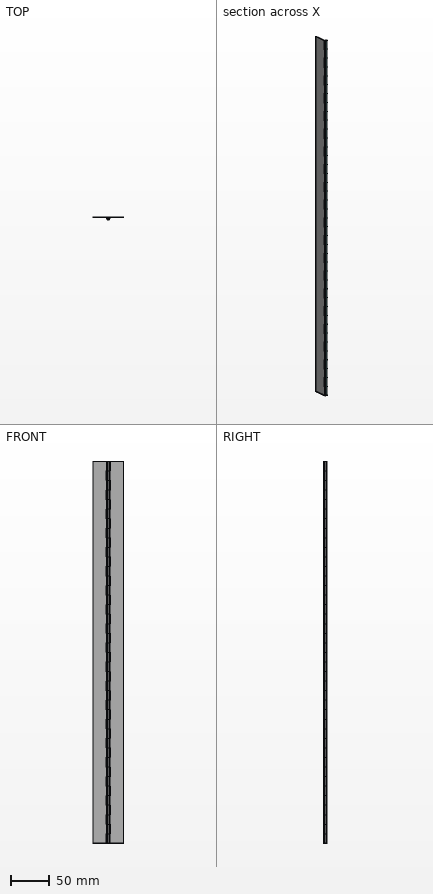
import cadquery as cq
import math

HINGE_LENGTH = 500.0
HINGE_WIDTH = 40.0
BARREL_DIAMETER = 4.0
LEAF_THICKNESS = 1.0
NOTCH_CLEARANCE = 0.5
KNUCKLE_COUNT = 40

PIN_DIAMETER = BARREL_DIAMETER - 2 * LEAF_THICKNESS
KNUCKLE_LENGTH = HINGE_LENGTH / KNUCKLE_COUNT
BARREL_RADIUS = BARREL_DIAMETER / 2
LEAF_BACK_Y = BARREL_RADIUS
LEAF_FRONT_Y = LEAF_BACK_Y - LEAF_THICKNESS
LEAF_INNER_X = BARREL_RADIUS + NOTCH_CLEARANCE
LEAF_OUTER_X = HINGE_WIDTH / 2
CURL_END_X = math.sqrt(BARREL_RADIUS**2 - LEAF_FRONT_Y**2)

LEFT = -1
RIGHT = 1


def make_plate(side):
    """Flat full-length sheet that stops short of the barrel."""
    return (
        cq.Workplane("XY")
        .moveTo(side * LEAF_INNER_X, LEAF_BACK_Y)
        .lineTo(side * LEAF_OUTER_X, LEAF_BACK_Y)
        .lineTo(side * LEAF_OUTER_X, LEAF_FRONT_Y)
        .lineTo(side * LEAF_INNER_X, LEAF_FRONT_Y)
        .close()
        .extrude(HINGE_LENGTH)
    )


def make_knuckle(side, bottom):
    """Barrel segment, tangent to the leaf's back face, with the bore for the pin."""
    return (
        cq.Workplane("XY")
        .workplane(offset=bottom)
        .moveTo(side * LEAF_INNER_X, LEAF_BACK_Y)
        .lineTo(0, LEAF_BACK_Y)
        .threePointArc((0, -BARREL_RADIUS), (side * CURL_END_X, LEAF_FRONT_Y))
        .lineTo(side * LEAF_INNER_X, LEAF_FRONT_Y)
        .close()
        .moveTo(0, 0)
        .circle(PIN_DIAMETER / 2)
        .extrude(KNUCKLE_LENGTH)
    )


def make_leaf(side, first_knuckle):
    """Leaf on one side of the pin, carrying every second knuckle."""
    plate = make_plate(side)
    knuckles = [
        make_knuckle(side, index * KNUCKLE_LENGTH).val()
        for index in range(first_knuckle, KNUCKLE_COUNT, 2)
    ]
    return plate.val().fuse(*knuckles).clean().Solids()[0]


def make_pin():
    """Plain pin through all the knuckles, flush with both ends."""
    return cq.Workplane("XY").circle(PIN_DIAMETER / 2).extrude(HINGE_LENGTH).val()


right_leaf = make_leaf(RIGHT, first_knuckle=0)
left_leaf = make_leaf(LEFT, first_knuckle=1)
pin = make_pin()

result = cq.Compound.makeCompound([left_leaf, right_leaf, pin])